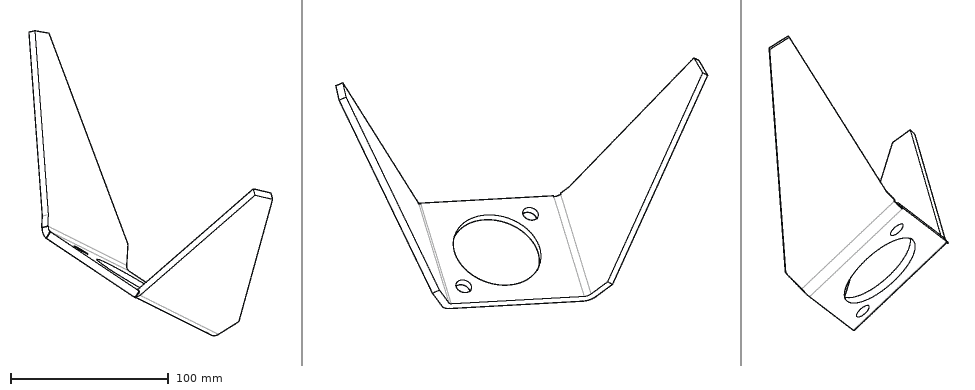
import cadquery as cq
import math

THICKNESS = 5.0
PLATE_WIDTH = 82.0
EDGE_STEP = 0.7
REAR = PLATE_WIDTH / 2
FRONT = -PLATE_WIDTH / 2
BEND_FRONT = FRONT + EDGE_STEP

LARGE_HOLE_DIAMETER = 57.0
SMALL_HOLE_DIAMETER = 10.15
SMALL_HOLE_X = 29.3
SMALL_HOLE_Y = 27.5
LEFT_FLAT = 48.1
RIGHT_FLAT = 41.1

LEFT_BEND_RADIUS = 5.0
LEFT_BEND_ANGLE = 54.4
RIGHT_BEND_RADIUS = 2.0
RIGHT_BEND_ANGLE = 55.3

LEFT_OUTLINE = [
    (0, FRONT),
    (7.7, FRONT),
    (124.4, -65.5),
    (127.4, -51.2),
    (14.4, REAR),
    (0, REAR),
]
RIGHT_OUTLINE = [
    (0, BEND_FRONT),
    (116.6, -66.2),
    (120.1, -52.2),
    (17.0, REAR),
    (0, REAR),
]

TILT_Y = -1.07
TILT_X = -40.10
TILT_Z = -29.18


def make_plate():
    """Flat plate with its upper face at Z = 0 and the large hole at the origin."""
    outer_radius = RIGHT_BEND_RADIUS + THICKNESS
    corner_setback = outer_radius * math.tan(math.radians(RIGHT_BEND_ANGLE / 2))
    outline = [
        (-LEFT_FLAT, FRONT),
        (RIGHT_FLAT + corner_setback, FRONT),
        (RIGHT_FLAT + corner_setback, BEND_FRONT),
        (RIGHT_FLAT, BEND_FRONT),
        (RIGHT_FLAT, REAR),
        (-LEFT_FLAT, REAR),
    ]
    small_holes = [(-SMALL_HOLE_X, -SMALL_HOLE_Y), (SMALL_HOLE_X, SMALL_HOLE_Y)]
    plate = cq.Workplane("XY").polyline(outline).close().extrude(-THICKNESS)
    large_cut = cq.Workplane("XY").circle(LARGE_HOLE_DIAMETER / 2).extrude(-THICKNESS)
    small_cuts = (
        cq.Workplane("XY").pushPoints(small_holes).circle(SMALL_HOLE_DIAMETER / 2).extrude(-THICKNESS)
    )
    return plate.cut(large_cut).cut(small_cuts)


def make_bent_flange(flat_length, bend_radius, bend_angle, outline):
    """Bend and flange joined to the +X end of a plate of the given flat length."""
    flange = (
        cq.Workplane("XY")
        .polyline(outline)
        .close()
        .extrude(-THICKNESS)
        .rotate((0, 0, bend_radius), (0, 1, bend_radius), -bend_angle)
    )
    bend = (
        cq.Workplane("YZ")
        .moveTo(BEND_FRONT, 0)
        .lineTo(BEND_FRONT, -THICKNESS)
        .lineTo(REAR, -THICKNESS)
        .lineTo(REAR, 0)
        .close()
        .revolve(bend_angle, (1, bend_radius), (0, bend_radius))
    )
    return bend.union(flange).translate((flat_length, 0, 0))


left_flange = make_bent_flange(LEFT_FLAT, LEFT_BEND_RADIUS, LEFT_BEND_ANGLE, LEFT_OUTLINE).mirror("YZ")
right_flange = make_bent_flange(RIGHT_FLAT, RIGHT_BEND_RADIUS, RIGHT_BEND_ANGLE, RIGHT_OUTLINE)
bracket = make_plate().union(left_flange).union(right_flange)

result = (
    bracket.rotate((0, 0, 0), (0, 1, 0), TILT_Y)
    .rotate((0, 0, 0), (1, 0, 0), TILT_X)
    .rotate((0, 0, 0), (0, 0, 1), TILT_Z)
)